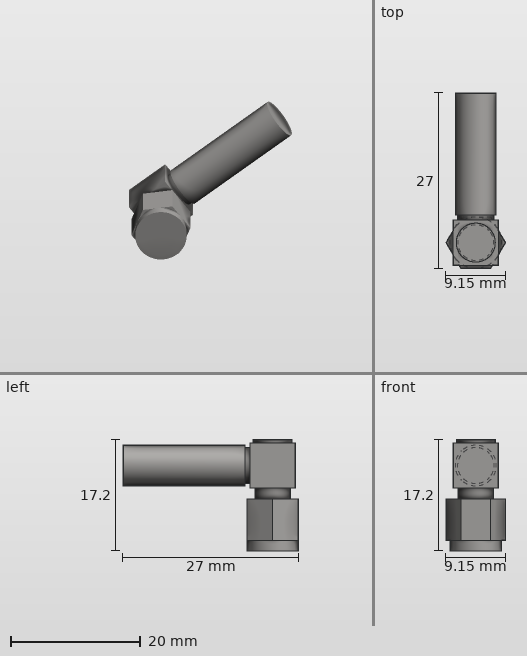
import cadquery as cq
import math


BLOCK_SIZE = 7.0
BLOCK_WIDTH = 6.95
MATING_NECK_DIAMETER = 5.5
MATING_NECK_LENGTH = 1.63
CABLE_NECK_DIAMETER = 5.58
CABLE_NECK_LENGTH = 0.75

CAP_DIAMETER = 6.0
CAP_HEIGHT = 0.5

NUT_ACROSS_CORNERS = 9.15
NUT_ACROSS_FLATS = NUT_ACROSS_CORNERS * math.cos(math.pi / 6)
NUT_HEX_HEIGHT = 6.41
NUT_COLLAR_DIAMETER = NUT_ACROSS_FLATS
NUT_COLLAR_HEIGHT = 1.63

SLEEVE_DIAMETER = 6.3
SLEEVE_LENGTH = 18.75

BLOCK_HALF = BLOCK_SIZE / 2
NUT_TOP_Z = -BLOCK_HALF - MATING_NECK_LENGTH
SLEEVE_START_Y = BLOCK_HALF + CABLE_NECK_LENGTH


def cylinder_up(diameter, bottom_z, height):
    """Cylinder on the Z axis, rising from bottom_z."""
    return cq.Workplane("XY", origin=(0, 0, bottom_z)).circle(diameter / 2).extrude(height)


def cylinder_back(diameter, start_y, length):
    """Cylinder on the Y axis, running toward +Y from start_y."""
    return cq.Workplane("XZ", origin=(0, start_y, 0)).circle(diameter / 2).extrude(-length)


def make_housing():
    """Block, slightly narrower along X, with necks below and behind it."""
    block = cq.Workplane("XY").box(BLOCK_WIDTH, BLOCK_SIZE, BLOCK_SIZE)
    mating_neck = cylinder_up(MATING_NECK_DIAMETER, NUT_TOP_Z, MATING_NECK_LENGTH)
    cable_neck = cylinder_back(CABLE_NECK_DIAMETER, BLOCK_HALF, CABLE_NECK_LENGTH)
    return block.union(mating_neck).union(cable_neck)


def make_cap():
    """Thin disc on top of the housing block."""
    return cylinder_up(CAP_DIAMETER, BLOCK_HALF, CAP_HEIGHT)


def make_nut():
    """Hexagon with corners on the X axis and a round collar under it."""
    hex_bottom_z = NUT_TOP_Z - NUT_HEX_HEIGHT
    hexagon = (
        cq.Workplane("XY", origin=(0, 0, hex_bottom_z))
        .polygon(6, NUT_ACROSS_CORNERS)
        .extrude(NUT_HEX_HEIGHT)
    )
    collar = cylinder_up(NUT_COLLAR_DIAMETER, hex_bottom_z - NUT_COLLAR_HEIGHT, NUT_COLLAR_HEIGHT)
    return hexagon.union(collar)


def make_sleeve():
    """Round sleeve that butts against the end of the cable neck."""
    return cylinder_back(SLEEVE_DIAMETER, SLEEVE_START_Y, SLEEVE_LENGTH)


housing = make_housing()
cap = make_cap()
nut = make_nut()
sleeve = make_sleeve()

result = cq.Compound.makeCompound([housing.val(), cap.val(), nut.val(), sleeve.val()])